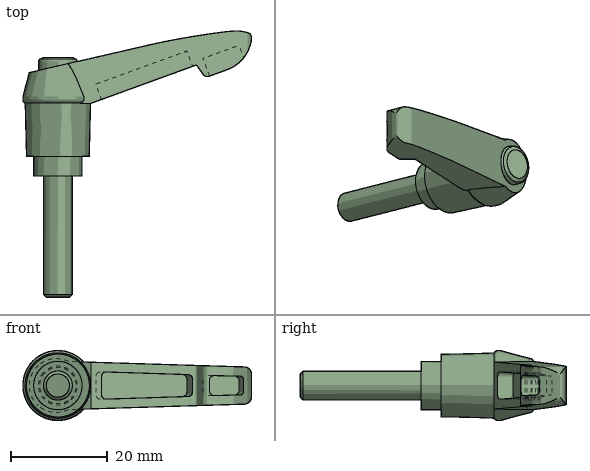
import math

import cadquery as cq


stud_diameter = 6.0
stud_length = 25.0
stud_chamfer = 0.6
collar_diameter = 10.0
collar_length = 4.1
button_diameter = 8.0
button_top = 24.5
button_edge_start = 23.6
button_edge_radius = 0.75
button_edge_sweep = 48.0
button_flat_diameter = 6.0

sleeve_bottom_radius = 6.5
sleeve_top_radius = 6.8
hub_bottom = 15.0
rim_radius = 7.25
rim_fillet = 0.85
rim_top = 16.4
cone_half_angle = 15.0
hub_cone_top = 24.5

arm_end = 40.0
arm_top = 30.0
roof_angle = 13.0
roof_height_at_axis = 22.75
roof_straight_end = 20.5
roof_arc_middle = (27.5, 28.8)
roof_arc_end = (34.7, 29.85)
nose_top = (36.7, arm_top)
nose_top_middle = (38.0, 29.9)
nose_shoulder = (39.3, 29.6)
nose_shoulder_middle = (39.8, 29.2)
nose_tip = (arm_end, 28.4)
nose_belly_middle = (38.5, 24.6)
grip_end_x = 35.2
grip_angle = 20.0
notch_root_x = 28.6
notch_angle = 54.5
notch_face_length = 3.2
notch_root_fillet = 0.4
notch_lip_fillet = 1.0

arm_half_width_at_axis = 5.05
arm_half_width_at_end = 3.82
arm_corner_radius = 1.6

long_pocket_start = 9.0
long_pocket_end = 27.8
long_pocket_start_half_width = 2.85
long_pocket_end_half_width = 2.25
long_pocket_depth = 3.4
tip_pocket_start = 31.3
tip_pocket_end = 38.75
tip_pocket_start_half_width = 2.07
tip_pocket_end_half_width = 1.95
tip_pocket_depth = 3.9
pocket_corner_radius = 1.0

grip_slope = math.tan(math.radians(grip_angle))
notch_root = (notch_root_x, hub_bottom + (notch_root_x - sleeve_top_radius) * grip_slope)
notch_lip = (
    notch_root[0] + notch_face_length * math.cos(math.radians(notch_angle)),
    notch_root[1] - notch_face_length * math.sin(math.radians(notch_angle)),
)
grip_end = (grip_end_x, notch_lip[1] + (grip_end_x - notch_lip[0]) * grip_slope)


def roof_height(x):
    """Height of the sloping top plane shared by the hub and the arm."""
    return roof_height_at_axis + x * math.tan(math.radians(roof_angle))


def revolve_about_spindle(half_profile):
    """Turn a closed (radius, Y) profile around the Y axis."""
    return cq.Workplane("XY").polyline(half_profile).close().revolve(360, (0, 0, 0), (0, 1, 0))


def make_spindle():
    stud_radius = stud_diameter / 2
    collar_radius = collar_diameter / 2
    return revolve_about_spindle([
        (0, -stud_length),
        (stud_radius - stud_chamfer, -stud_length),
        (stud_radius, -stud_length + stud_chamfer),
        (stud_radius, 0),
        (collar_radius, 0),
        (collar_radius, collar_length),
        (0, collar_length),
    ])


def make_button():
    """Screw head standing out of the hub: a rounded edge that runs into a shallow cone below the flat top."""
    radius = button_diameter / 2

    def edge_point(degrees):
        angle = math.radians(degrees)
        return (
            radius - button_edge_radius * (1 - math.cos(angle)),
            button_edge_start + button_edge_radius * math.sin(angle),
        )

    return (
        cq.Workplane("XY")
        .moveTo(0, collar_length)
        .lineTo(radius, collar_length)
        .lineTo(radius, button_edge_start)
        .threePointArc(edge_point(button_edge_sweep / 2), edge_point(button_edge_sweep))
        .lineTo(button_flat_diameter / 2, button_top)
        .lineTo(0, button_top)
        .close()
        .revolve(360, (0, 0, 0), (0, 1, 0))
    )


def make_sleeve():
    return revolve_about_spindle([
        (0, collar_length),
        (sleeve_bottom_radius, collar_length),
        (sleeve_top_radius, rim_top),
        (0, rim_top),
    ])


def make_cone():
    cone_top_radius = rim_radius - (hub_cone_top - rim_top) * math.tan(math.radians(cone_half_angle))
    cone = revolve_about_spindle([
        (0, hub_bottom),
        (rim_radius, hub_bottom),
        (rim_radius, rim_top),
        (cone_top_radius, hub_cone_top),
        (0, hub_cone_top),
    ])
    cone = cone.faces("<Y").edges().fillet(rim_fillet)
    reach = 2 * rim_radius
    above_roof = (
        cq.Workplane("XY")
        .moveTo(-reach, roof_height(-reach))
        .lineTo(reach, roof_height(reach))
        .lineTo(reach, arm_end)
        .lineTo(-reach, arm_end)
        .close()
        .extrude(reach, both=True)
    )
    return cone.cut(above_roof)


def make_arm():
    side = (
        cq.Workplane("XY")
        .moveTo(0, hub_bottom)
        .lineTo(sleeve_top_radius, hub_bottom)
        .lineTo(*notch_root)
        .lineTo(*notch_lip)
        .lineTo(*grip_end)
        .threePointArc(nose_belly_middle, nose_tip)
        .threePointArc(nose_shoulder_middle, nose_shoulder)
        .threePointArc(nose_top_middle, nose_top)
        .lineTo(*roof_arc_end)
        .threePointArc(roof_arc_middle, (roof_straight_end, roof_height(roof_straight_end)))
        .lineTo(0, roof_height(0))
        .close()
        .extrude(rim_radius, both=True)
    )
    side = round_edge_at(side, notch_root, notch_root_fillet)
    side = round_edge_at(side, notch_lip, notch_lip_fillet)
    plan = (
        cq.Workplane("XZ")
        .polyline([
            (0, -arm_half_width_at_axis),
            (arm_end, -arm_half_width_at_end),
            (arm_end, arm_half_width_at_end),
            (0, arm_half_width_at_axis),
        ])
        .close()
        .extrude(-2 * arm_top)
        .edges("|Y and >X")
        .fillet(arm_corner_radius)
    )
    return side.intersect(plan)


def round_edge_at(body, point, radius):
    """Fillet the Z-direction edge of the body that passes through an (X, Y) point."""
    return body.edges(cq.selectors.NearestToPointSelector((point[0], point[1], 0))).fillet(radius)


def make_pocket(face_point, start, end, start_half_width, end_half_width, depth):
    """Tapered pocket body sunk from the grip face through face_point.

    start and end are the X positions of the pocket mouth on that face. The body
    also reaches one depth out of the face, so it clears a mouth that curves away.
    """
    along = cq.Vector(math.cos(math.radians(grip_angle)), math.sin(math.radians(grip_angle)), 0)
    inward = cq.Vector(-along.y, along.x, 0)
    face = cq.Plane(origin=(*face_point, 0), xDir=along, normal=inward)
    start_along = (start - face_point[0]) / along.x
    end_along = (end - face_point[0]) / along.x
    return (
        cq.Workplane(face)
        .polyline([
            (start_along, -start_half_width),
            (end_along, -end_half_width),
            (end_along, end_half_width),
            (start_along, start_half_width),
        ])
        .close()
        .extrude(depth, both=True)
        .edges(cq.selectors.ParallelDirSelector(inward))
        .fillet(pocket_corner_radius)
    )


def make_pockets():
    long_pocket = make_pocket(
        notch_root, long_pocket_start, long_pocket_end,
        long_pocket_start_half_width, long_pocket_end_half_width, long_pocket_depth,
    )
    tip_pocket = make_pocket(
        notch_lip, tip_pocket_start, tip_pocket_end,
        tip_pocket_start_half_width, tip_pocket_end_half_width, tip_pocket_depth,
    )
    return long_pocket, tip_pocket


arm = make_arm()
for pocket in make_pockets():
    arm = arm.cut(pocket)

result = make_cone().union(arm).union(make_sleeve()).union(make_spindle()).union(make_button())